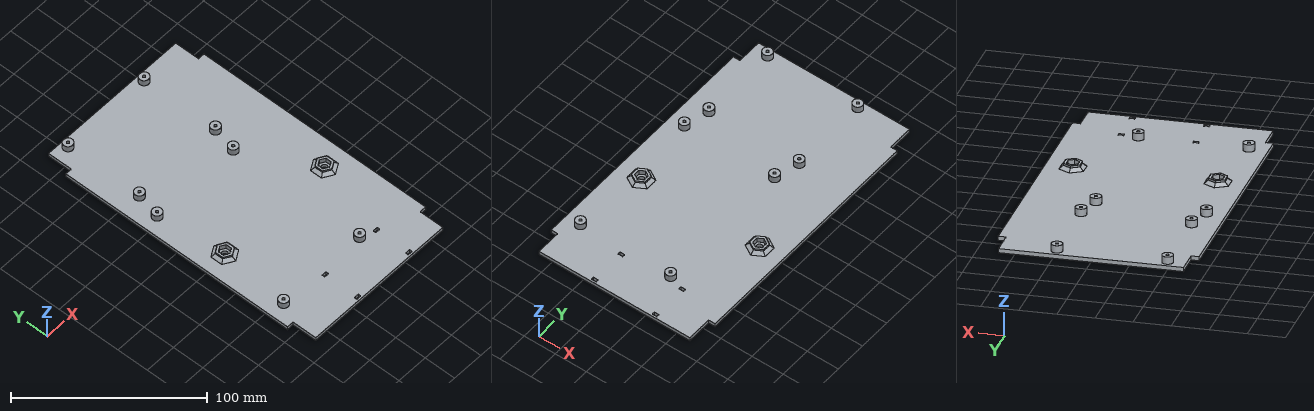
import cadquery as cq
import math

plate_length = 182.0
plate_width = 105.5
strip_width = 97.2
wide_length = 151.0
plate_thickness = 2.4

standoff_height = 4.0
standoff_diameter = 6.0
standoff_bore = 1.6
standoff_pitch_x = 58.0
upper_group_x = -10.0
upper_group_y = 61.9
upper_pitch_y = 48.6
lower_group_x = -13.8
lower_group_y = -21.0
lower_pitch_y = 86.0

holder_pitch_x = 76.0
holder_y = -19.7
foot_flats = 13.0
rim_flats = 9.0
foot_height = 1.8
rim_height = 1.1
pocket_flats = 6.0
pocket_depth = foot_height + rim_height
screw_diameter = 3.5

slot_length = 3.0
slot_width = 1.6
slot_group_x = 5.3
slot_group_y = -77.9
slot_pitch_x = 39.1
slot_pitch_y = 22.0


def corner_points(center_x, center_y, pitch_x, pitch_y):
    """Corners of a rectangle centred on the given point."""
    return [
        (center_x + side_x * pitch_x / 2, center_y + side_y * pitch_y / 2)
        for side_x in (-1, 1)
        for side_y in (-1, 1)
    ]


def hexagon(flats):
    """Hexagon corners with two corners on the Y axis."""
    radius = flats / math.sqrt(3)
    angles = [math.radians(90 + 60 * corner) for corner in range(6)]
    return [(radius * math.cos(angle), radius * math.sin(angle)) for angle in angles]


def make_plate():
    strip = cq.Workplane("XY").box(strip_width, plate_length, plate_thickness, centered=(True, True, False))
    wide = cq.Workplane("XY").box(plate_width, wide_length, plate_thickness, centered=(True, True, False))
    return strip.union(wide)


def make_holder():
    foot = (
        cq.Workplane("XY")
        .polyline(hexagon(foot_flats)).close()
        .workplane(offset=foot_height)
        .polyline(hexagon(rim_flats)).close()
        .loft(ruled=True)
    )
    rim = (
        cq.Workplane("XY", origin=(0, 0, foot_height))
        .polyline(hexagon(rim_flats)).close()
        .extrude(rim_height)
    )
    pocket = (
        cq.Workplane("XY", origin=(0, 0, foot_height + rim_height - pocket_depth))
        .polyline(hexagon(pocket_flats)).close()
        .extrude(pocket_depth)
    )
    return foot.union(rim).cut(pocket)


standoff_points = (
    corner_points(upper_group_x, upper_group_y, standoff_pitch_x, upper_pitch_y)
    + corner_points(lower_group_x, lower_group_y, standoff_pitch_x, lower_pitch_y)
)
holder_points = [(side * holder_pitch_x / 2, holder_y) for side in (-1, 1)]
slot_points = corner_points(slot_group_x, slot_group_y, slot_pitch_x, slot_pitch_y)

standoffs = (
    cq.Workplane("XY")
    .pushPoints(standoff_points)
    .circle(standoff_diameter / 2)
    .extrude(plate_thickness + standoff_height)
)
result = make_plate().union(standoffs)
for x, y in holder_points:
    result = result.union(make_holder().translate((x, y, plate_thickness)))

bores = (
    cq.Workplane("XY")
    .pushPoints(standoff_points)
    .circle(standoff_bore / 2)
    .extrude(plate_thickness + standoff_height)
)
screw_holes = cq.Workplane("XY").pushPoints(holder_points).circle(screw_diameter / 2).extrude(plate_thickness)
slots = cq.Workplane("XY").pushPoints(slot_points).rect(slot_length, slot_width).extrude(plate_thickness)
result = result.cut(bores).cut(screw_holes).cut(slots)